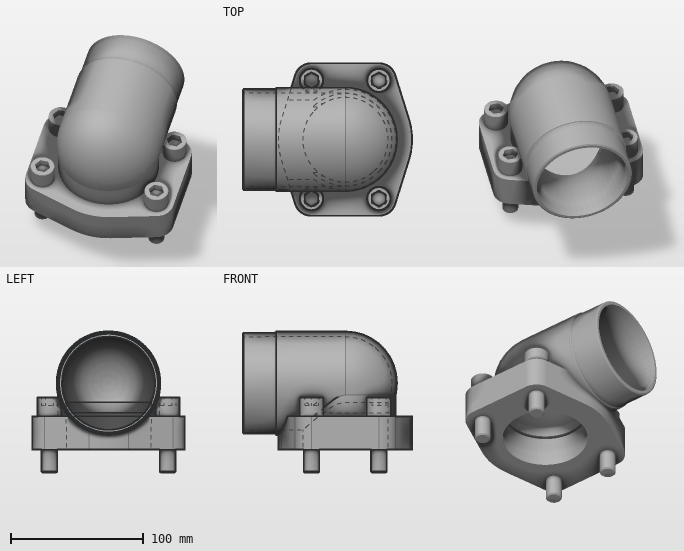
import cadquery as cq
import math

flange_thickness = 25.0
flange_end_radius = 50.5
flange_corner_radius = 13.0
bolt_x = 25.4
bolt_y = 44.5

axis_height = 50.0
elbow_diameter = 78.2
elbow_bore_diameter = 70.3
tube_end_x = -77.0

tube_end_diameter = 76.2
tube_end_length = 25.2
rim_bevel_width = 1.0
rim_bevel_length = 0.8

neck_diameter = 76.1
neck_bore_diameter = 64.0
groove_diameter = 69.6
groove_height = 2.7

head_diameter = 18.0
head_height = 14.3
head_chamfer = 0.4
hex_corner_diameter = 12.0
hex_depth = 6.0
shank_diameter = 12.0
shank_projection = 17.5
shank_chamfer = 1.0


def point_on_circle(center_x, center_y, radius, angle):
    return (center_x + radius * math.cos(angle), center_y + radius * math.sin(angle))


def make_flange():
    bolt_distance = math.hypot(bolt_x, bolt_y)
    tangent_angle = math.atan2(bolt_y, bolt_x) - math.acos(
        (flange_end_radius - flange_corner_radius) / bolt_distance
    )
    corner_middle_angle = (tangent_angle + math.pi / 2) / 2

    end_x, end_y = point_on_circle(0, 0, flange_end_radius, tangent_angle)
    side_x, side_y = point_on_circle(bolt_x, bolt_y, flange_corner_radius, tangent_angle)
    mid_x, mid_y = point_on_circle(bolt_x, bolt_y, flange_corner_radius, corner_middle_angle)
    edge_y = bolt_y + flange_corner_radius

    outline = (
        cq.Workplane("XY")
        .moveTo(end_x, -end_y)
        .threePointArc((flange_end_radius, 0), (end_x, end_y))
        .lineTo(side_x, side_y)
        .threePointArc((mid_x, mid_y), (bolt_x, edge_y))
        .lineTo(-bolt_x, edge_y)
        .threePointArc((-mid_x, mid_y), (-side_x, side_y))
        .lineTo(-end_x, end_y)
        .threePointArc((-flange_end_radius, 0), (-end_x, -end_y))
        .lineTo(-side_x, -side_y)
        .threePointArc((-mid_x, -mid_y), (-bolt_x, -edge_y))
        .lineTo(bolt_x, -edge_y)
        .threePointArc((mid_x, -mid_y), (side_x, -side_y))
        .close()
    )
    return outline.extrude(flange_thickness)


def revolve_about_tube_axis(profile):
    return profile.close().revolve(360, (0, 0, 0), (1, 0, 0)).translate((0, 0, axis_height))


def ball_ended(profile, radius):
    diagonal = radius * math.sqrt(0.5)
    return profile.lineTo(0, radius).threePointArc((diagonal, diagonal), (radius, 0))


def make_elbow_body():
    tube_end_radius = tube_end_diameter / 2
    elbow_radius = elbow_diameter / 2
    shoulder_x = tube_end_x + tube_end_length
    fillet_radius = elbow_radius - tube_end_radius
    fillet_start_x = shoulder_x - fillet_radius
    fillet_middle = point_on_circle(fillet_start_x, elbow_radius, fillet_radius, -math.pi / 4)
    profile = (
        cq.Workplane("XY")
        .moveTo(tube_end_x, 0)
        .lineTo(tube_end_x, tube_end_radius - rim_bevel_width)
        .lineTo(tube_end_x + rim_bevel_length, tube_end_radius)
        .lineTo(fillet_start_x, tube_end_radius)
        .threePointArc(fillet_middle, (shoulder_x, elbow_radius))
    )
    return revolve_about_tube_axis(ball_ended(profile, elbow_radius))


def make_elbow_bore():
    bore_radius = elbow_bore_diameter / 2
    profile = cq.Workplane("XY").moveTo(tube_end_x, 0).lineTo(tube_end_x, bore_radius)
    return revolve_about_tube_axis(ball_ended(profile, bore_radius))


def make_neck_bore():
    bore_radius = neck_bore_diameter / 2
    groove_radius = groove_diameter / 2
    groove_top = flange_thickness + groove_height
    return (
        cq.Workplane("XZ")
        .lineTo(bore_radius, 0)
        .lineTo(bore_radius, flange_thickness)
        .lineTo(groove_radius, flange_thickness)
        .lineTo(groove_radius, groove_top)
        .lineTo(bore_radius, groove_top)
        .lineTo(bore_radius, axis_height)
        .lineTo(0, axis_height)
        .close()
        .revolve(360, (0, 0, 0), (0, 1, 0))
    )


def make_bolt():
    shank = (
        cq.Workplane("XY")
        .workplane(offset=-shank_projection)
        .circle(shank_diameter / 2)
        .extrude(shank_projection + flange_thickness)
        .faces("<Z")
        .chamfer(shank_chamfer)
    )
    head = (
        cq.Workplane("XY")
        .workplane(offset=flange_thickness)
        .circle(head_diameter / 2)
        .extrude(head_height)
        .faces(">Z")
        .chamfer(head_chamfer)
    )
    socket = (
        cq.Workplane("XY")
        .workplane(offset=flange_thickness + head_height - hex_depth)
        .polygon(6, hex_corner_diameter)
        .extrude(hex_depth)
        .rotate((0, 0, 0), (0, 0, 1), 90)
    )
    return shank.union(head).cut(socket)


neck = cq.Workplane("XY").circle(neck_diameter / 2).extrude(axis_height)
result = make_flange().union(neck).union(make_elbow_body())
result = result.cut(make_elbow_bore()).cut(make_neck_bore())

for x in (-bolt_x, bolt_x):
    for y in (-bolt_y, bolt_y):
        result = result.union(make_bolt().translate((x, y, 0)))